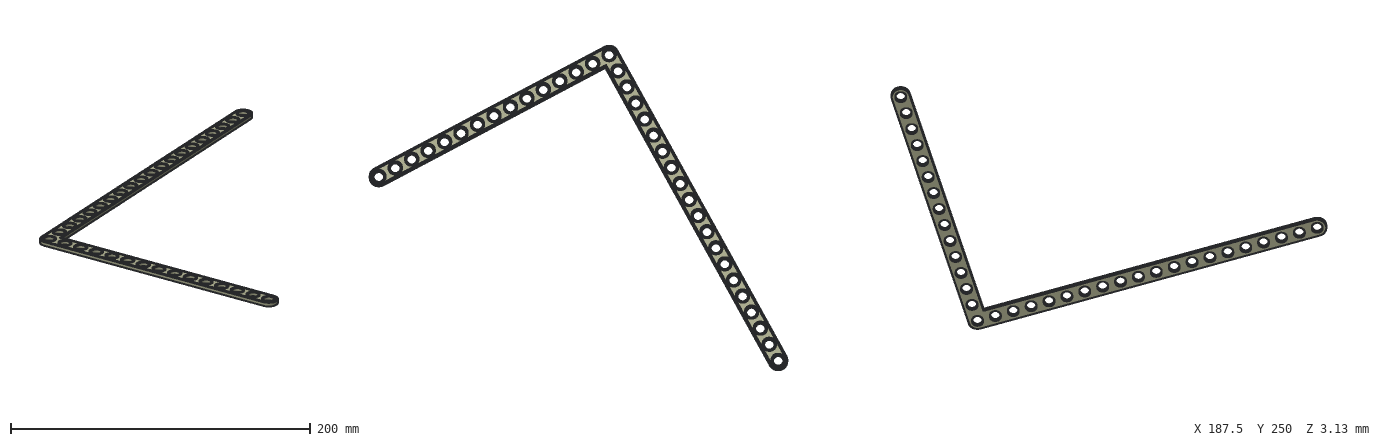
import cadquery as cq

pitch = 12.5
holes_along_x = 15
holes_along_y = 20
hole_diameter = 7.0
boss_diameter = 9.2
rim_width = 1.12
pocket_depth = 0.18
edge_chamfer = 0.3

thickness = pitch / 4

reach_x = (holes_along_x - 1) * pitch
reach_y = (holes_along_y - 1) * pitch

hole_centers = [(i * pitch, 0) for i in range(holes_along_x)]
hole_centers += [(0, i * pitch) for i in range(1, holes_along_y)]


def l_shape(width, bottom, height):
    """Two round-ended arms of equal width that share the corner hole center."""
    plane = cq.Workplane("XY", origin=(0, 0, bottom))
    arm_x = plane.center(reach_x / 2, 0).slot2D(reach_x + width, width).extrude(height)
    arm_y = plane.center(0, reach_y / 2).slot2D(reach_y + width, width, 90).extrude(height)
    return arm_x.union(arm_y)


def cylinders(diameter, bottom, height):
    """One upright cylinder at every hole center."""
    plane = cq.Workplane("XY", origin=(0, 0, bottom))
    return plane.pushPoints(hole_centers).circle(diameter / 2).extrude(height)


plate = l_shape(pitch, 0, thickness).cut(cylinders(hole_diameter, 0, thickness))
plate = plate.faces(">Z or <Z").edges().chamfer(edge_chamfer)

pocket_floor = thickness - pocket_depth
pocket = l_shape(pitch - 2 * rim_width, pocket_floor, pocket_depth)
pocket = pocket.cut(cylinders(boss_diameter, pocket_floor, pocket_depth))

result = plate.cut(pocket)